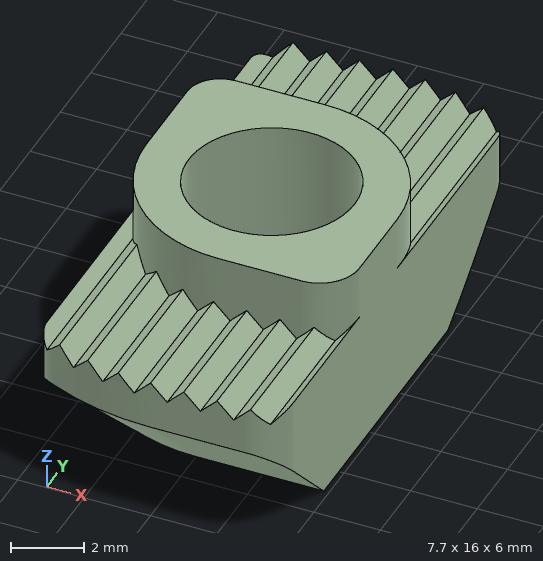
import cadquery as cq
import math

LENGTH = 16.0
WIDTH = 7.7
HEIGHT = 6.0
HALF_LENGTH = LENGTH / 2
HALF_WIDTH = WIDTH / 2

BASE_LENGTH = 10.0
SLOPE_HEIGHT = (LENGTH - BASE_LENGTH) / 2
CREST_HEIGHT = 4.5
BODY_CORNER_RADIUS = 1.0

OUTER_CREST_SPAN = 6.0
GROOVES_BETWEEN_OUTER_CRESTS = 6
TOOTH_PITCH = OUTER_CREST_SPAN / GROOVES_BETWEEN_OUTER_CRESTS
TOOTH_DEPTH = TOOTH_PITCH / 2
GROOVES_PER_SIDE = math.ceil(HALF_WIDTH / TOOTH_PITCH)

BOSS_ARC_RADIUS = 4.0
BOSS_REAR_CORNER_RADIUS = 1.0
BOSS_FRONT_CORNER_RADIUS = 1.2
HOLE_DIAMETER = 5.0


def two_arc_outline(half_x, half_y, arc_start_x, arc_radius, arc_end_y):
    """Rectangle whose (+X, +Y) and (-X, -Y) corners are replaced by arcs."""
    return (
        cq.Workplane("XY")
        .moveTo(-half_x, half_y)
        .lineTo(arc_start_x, half_y)
        .radiusArc((half_x, arc_end_y), arc_radius)
        .lineTo(half_x, -half_y)
        .lineTo(-arc_start_x, -half_y)
        .radiusArc((-half_x, -arc_end_y), arc_radius)
        .close()
    )


def make_body_prism():
    """Prism up to the tooth crests; its end arcs are centred on the hole axis."""
    arc_end_y = math.sqrt(HALF_LENGTH**2 - HALF_WIDTH**2)
    outline = two_arc_outline(HALF_WIDTH, HALF_LENGTH, 0, HALF_LENGTH, arc_end_y)
    prism = outline.extrude(CREST_HEIGHT)
    side_edges = prism.faces("<X or >X").edges("|Z")
    return side_edges.fillet(BODY_CORNER_RADIUS)


def half_end_profile(plane):
    """Half of the lengthwise section, from the hole axis to a sloped end."""
    return cq.Workplane(plane).polyline([
        (0, 0),
        (BASE_LENGTH / 2, 0),
        (HALF_LENGTH, SLOPE_HEIGHT),
        (HALF_LENGTH, CREST_HEIGHT),
        (0, CREST_HEIGHT),
    ]).close()


def make_sloped_envelope():
    """Conical slopes under the end arcs and flat slopes under the straight ends."""
    cone = half_end_profile("XZ").revolve(360, (0, 0), (0, 1))
    flat_slope = half_end_profile("YZ").extrude(-HALF_WIDTH)
    opposite_slope = flat_slope.rotate((0, 0, 0), (0, 0, 1), 180)
    return cone.union(flat_slope).union(opposite_slope)


def make_grooves():
    """V grooves between the crests, over the whole length."""
    grooves = cq.Workplane("XZ")
    for index in range(-GROOVES_PER_SIDE, GROOVES_PER_SIDE):
        left_crest = index * TOOTH_PITCH
        grooves = grooves.polyline([
            (left_crest, CREST_HEIGHT),
            (left_crest + TOOTH_PITCH / 2, CREST_HEIGHT - TOOTH_DEPTH),
            (left_crest + TOOTH_PITCH, CREST_HEIGHT),
        ]).close()
    return grooves.extrude(HALF_LENGTH, both=True)


def make_boss():
    """Boss as wide as the body, rounded so that the nut can turn in its slot."""
    arc_start = HALF_WIDTH - BOSS_ARC_RADIUS
    outline = two_arc_outline(HALF_WIDTH, HALF_WIDTH, arc_start, BOSS_ARC_RADIUS, arc_start)
    base = CREST_HEIGHT - TOOTH_DEPTH
    boss = outline.extrude(HEIGHT - base).translate((0, 0, base))
    boss = boss.edges("|Z").edges("<(1, -1, 0)").fillet(BOSS_REAR_CORNER_RADIUS)
    return boss.edges("|Z").edges(">(1, -1, 0)").fillet(BOSS_FRONT_CORNER_RADIUS)


body = make_body_prism().intersect(make_sloped_envelope()).cut(make_grooves())
hole = cq.Workplane("XY").circle(HOLE_DIAMETER / 2).extrude(HEIGHT)
result = body.union(make_boss()).cut(hole)